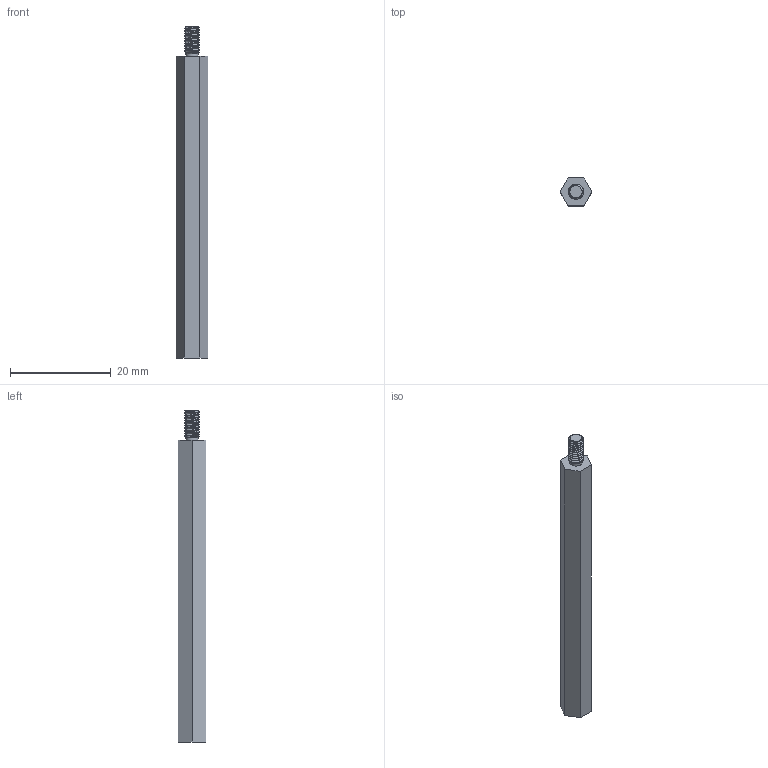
import cadquery as cq
import math

hex_across_flats = 5.5
hex_across_corners = hex_across_flats / math.cos(math.radians(30))
body_length = 60.0

stud_length = 6.0
stud_top = body_length + stud_length
core_diameter = 2.5
crest_diameter = 3.0
tip_diameter = 2.4
tip_chamfer_length = 0.2
neck_length = 0.5
neck_cone_length = 0.3

thread_pitch = 0.5
root_width = 0.46
crest_width = 0.06
root_overlap = 0.03
crest_clearance = 0.1
ridge_run_in = 0.2
thread_turn = 36


def make_body():
    """Hexagonal prism with two corners on the X axis."""
    return cq.Workplane("XY").polygon(6, hex_across_corners).extrude(body_length)


def make_rod(length):
    """Round rod of the core diameter, standing on the upper end of the body."""
    return (
        cq.Workplane("XY")
        .workplane(offset=body_length)
        .circle(core_diameter / 2)
        .extrude(length)
    )


def make_ridge():
    """Right-hand helical ridge, overlong at both ends."""
    inner_radius = core_diameter / 2 - root_overlap
    crest_radius = crest_diameter / 2
    start_height = body_length - ridge_run_in
    rise = stud_length + 2 * ridge_run_in
    helix = cq.Wire.makeHelix(
        thread_pitch, rise, inner_radius, center=cq.Vector(0, 0, start_height)
    )
    return (
        cq.Workplane("XZ")
        .moveTo(inner_radius, start_height - root_width / 2)
        .lineTo(crest_radius, start_height - crest_width / 2)
        .lineTo(crest_radius, start_height + crest_width / 2)
        .lineTo(inner_radius, start_height + root_width / 2)
        .close()
        .sweep(cq.Workplane(obj=helix), isFrenet=True)
    )


def make_thread_envelope():
    """Double cone-ended cylinder that trims the thread, clear of the crests between its ends."""
    bottom = body_length + neck_length
    core_radius = core_diameter / 2
    tip_radius = tip_diameter / 2
    outer_radius = crest_diameter / 2 + crest_clearance
    bottom_slope = neck_cone_length / (crest_diameter / 2 - core_radius)
    tip_slope = tip_chamfer_length / (crest_diameter / 2 - tip_radius)
    return (
        cq.Workplane("XZ")
        .moveTo(0, bottom)
        .lineTo(core_radius, bottom)
        .lineTo(outer_radius, bottom + bottom_slope * (outer_radius - core_radius))
        .lineTo(outer_radius, stud_top - tip_slope * (outer_radius - tip_radius))
        .lineTo(tip_radius, stud_top)
        .lineTo(0, stud_top)
        .close()
        .revolve(360, (0, 0, 0), (0, 1, 0))
    )


def make_stud():
    """Threaded rod trimmed to its coned ends, standing on a plain neck."""
    thread = make_rod(stud_length).union(make_ridge()).intersect(make_thread_envelope())
    stud = make_rod(neck_length).union(thread)
    return stud.rotate((0, 0, 0), (0, 0, 1), thread_turn)


result = make_body().union(make_stud())